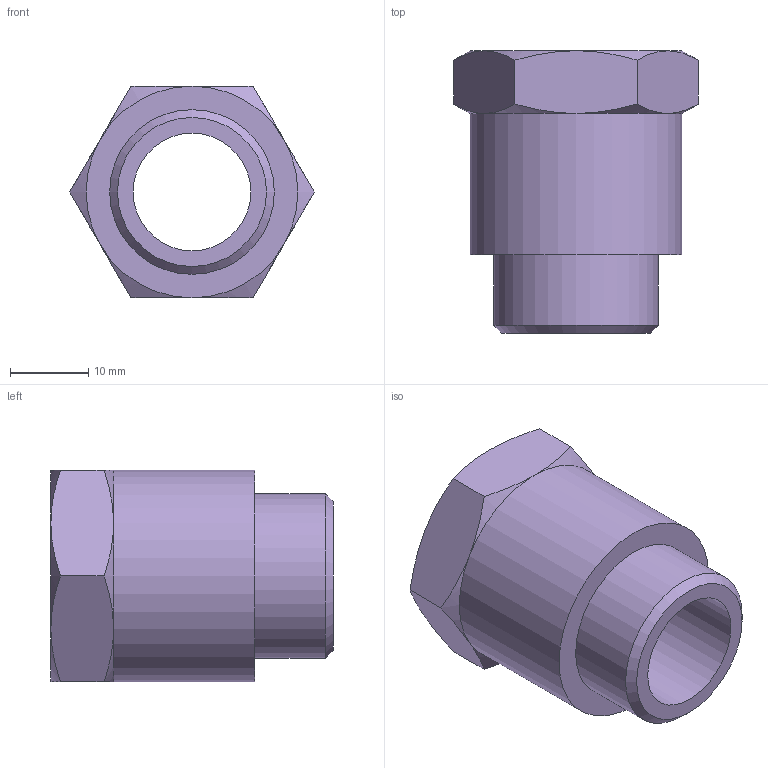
import cadquery as cq
import math

hex_sides = 6
across_flats = 27.0
hex_length = 8.0
body_diameter = across_flats
body_length = 18.0
spigot_diameter = 21.0
spigot_length = 10.0
spigot_chamfer = 1.0
bore_diameter = 15.0
hex_chamfer_angle = 30.0

across_corners = across_flats / math.cos(math.pi / hex_sides)
body_start = spigot_length
hex_start = body_start + body_length
total_length = hex_start + hex_length
corner_depth = (across_corners - across_flats) / 2
corner_drop = corner_depth * math.tan(math.radians(hex_chamfer_angle))


def plane_at(y):
    """Plane normal to the part's axis, facing +Y, with local x along X."""
    return cq.Workplane(cq.Plane(origin=(0, y, 0), xDir=(1, 0, 0), normal=(0, 1, 0)))


def cylinder(diameter, start, length):
    return plane_at(start).circle(diameter / 2).extrude(length)


def hex_head():
    """Hexagon with corners on X, its corners coned off at both ends."""
    prism = plane_at(hex_start).polygon(hex_sides, across_corners).extrude(hex_length)
    face_radius = across_flats / 2
    corner_radius = across_corners / 2
    cone_envelope = (
        cq.Workplane("XY")
        .moveTo(0, hex_start)
        .lineTo(face_radius, hex_start)
        .lineTo(corner_radius, hex_start + corner_drop)
        .lineTo(corner_radius, total_length - corner_drop)
        .lineTo(face_radius, total_length)
        .lineTo(0, total_length)
        .close()
        .revolve(360, (0, 0, 0), (0, 1, 0))
    )
    return prism.intersect(cone_envelope)


def spigot():
    plain = cylinder(spigot_diameter, 0, spigot_length)
    return plain.faces("<Y").chamfer(spigot_chamfer)


body = cylinder(body_diameter, body_start, body_length)
bore = cylinder(bore_diameter, 0, total_length)

result = hex_head().union(body).union(spigot()).cut(bore)